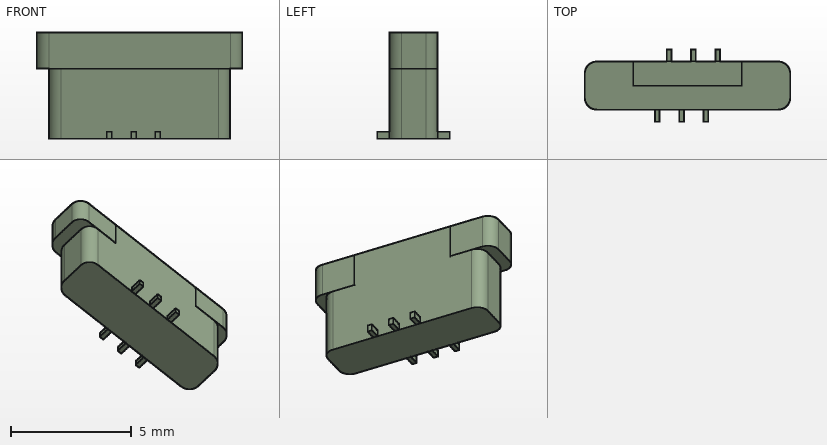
import cadquery as cq

cap_length = 8.5
body_depth = 2.0
total_height = 4.4
cap_height = 1.5
corner_radius = 0.5
tongue_length = 4.5
tongue_depth = 1.0
pin_width = 0.2
pin_height = 0.3
pin_reach = 0.5
pin_pitch = 1.0
pin_row_shift = 0.25
pins_per_row = 3

housing_length = cap_length - 2 * corner_radius
housing_height = total_height - cap_height
back_face = body_depth / 2


def rounded_block(length, height, base):
    """Block of the common depth with rounded vertical edges, standing on Z = base."""
    return (
        cq.Workplane("XY", origin=(0, 0, base))
        .rect(length, body_depth)
        .extrude(height)
        .edges("|Z")
        .fillet(corner_radius)
    )


def make_tongue():
    """Rectangular block flush with the top and back of the cap, as deep as the cap."""
    return (
        cq.Workplane("XY", origin=(0, back_face - tongue_depth / 2, housing_height))
        .rect(tongue_length, tongue_depth)
        .extrude(cap_height)
    )


def make_housing():
    """Rounded block with a tongue that rises through the notch of the cap."""
    return rounded_block(housing_length, housing_height, 0).union(make_tongue())


def make_cap():
    """Wider rounded block resting on the housing, notched at the back for the tongue."""
    return rounded_block(cap_length, cap_height, housing_height).cut(make_tongue())


def make_pin(x, side):
    """Solder pin standing out of the front (side = -1) or back (side = 1) wall."""
    y = side * (body_depth + pin_reach) / 2
    return cq.Workplane("XY", origin=(x, y, 0)).rect(pin_width, pin_reach).extrude(pin_height)


housing = make_housing()
cap = make_cap()

pins = []
for side in (-1, 1):
    for index in range(pins_per_row):
        x = (index - (pins_per_row - 1) / 2) * pin_pitch + side * pin_row_shift
        pins.append(make_pin(x, side).val())

result = cq.Compound.makeCompound([housing.val(), cap.val(), *pins])